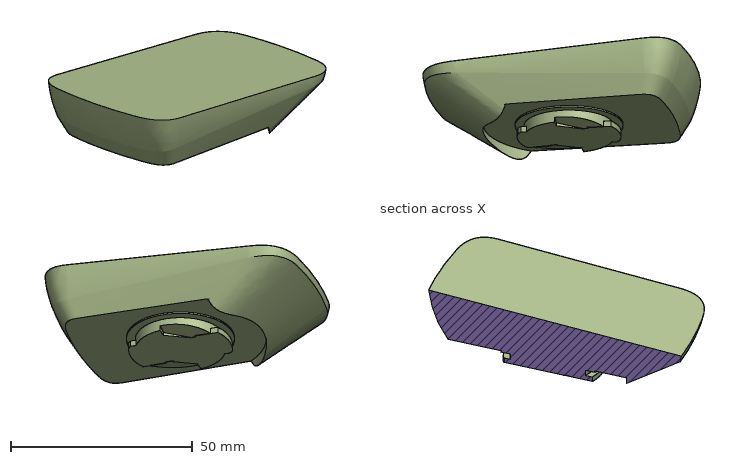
import cadquery as cq
import math

LENGTH = 74.5
FRONT_Y = -35.2
BACK_Y = FRONT_Y + LENGTH
TOP_FRONT_Z = 19.3
TOP_BACK_Z = 15.35
BASE_Z = 3.7

TOP_HALF_WIDTH = 23.6
FRONT_CORNER_Y = -25.2

CREASE_FRONT_Y = -32.3
CREASE_BACK_Y = 39.0
CREASE_FRONT_Z = 8.6
CREASE_BACK_Z = 13.25

FOOT_FRONT_Y = -27.3
FOOT_BACK_Y = 20.85

FRONT_BULGE = 0.45
SIDE_BULGE = 0.3

LIP_RADIUS = 23.7
CUTTER_SIZE = 2 * LENGTH

MOUNT_RADIUS = 12.45
PAD_RADIUS = 14.9
PAD_THICKNESS = 0.45
TAB_RADIUS = 14.3
TAB_HEIGHT = 1.65
TAB_HALF_WIDTH = 6.2
TAB_CHAMFER = 1.05

RECESS_START_Y = 1.8
RECESS_END_Y = -10.4
RECESS_WALL_X = -9.3
RECESS_TIP_X = -5.6
RECESS_TIP_Y = -4.85
RECESS_DEPTH = 1.4
ROOF_SLOPE_X = 0.167
ROOF_SLOPE_Y = 0.023


def tilted_plane(y1, z1, y2, z2):
    """Return the height of a tilted plane as a function of Y."""
    slope = (z2 - z1) / (y2 - y1)
    return lambda y: z1 + slope * (y - y1)


def midpoint(a, b):
    return tuple((p + q) / 2 for p, q in zip(a, b))


class Section:
    """Closed outline on a tilted plane, symmetric in X, given by the plan points of its +X half."""

    def __init__(self, height, front_y, front_bow, front_side, back_side, back_bow, back_y):
        self.height = height
        self.front_y = front_y
        self.front_bow = front_bow
        self.front_side = front_side
        self.back_side = back_side
        self.back_bow = back_bow
        self.back_y = back_y

    def point(self, plan, mirror=1):
        return cq.Vector(mirror * plan[0], plan[1], self.height(plan[1]))

    def bow(self, bow_end, peak_y):
        return cq.Edge.makeThreePointArc(
            self.point(bow_end, -1), self.point((0, peak_y)), self.point(bow_end)
        )

    def corner(self, bow_end, side_end, peak_y, mirror):
        """Rounded corner, tangent to the bow and to the straight side."""
        start = self.point(bow_end, mirror)
        end = self.point(side_end, mirror)
        half_angle = math.atan2(peak_y - bow_end[1], bow_end[0])
        beyond_bow = (2 * bow_end[0], bow_end[1] - bow_end[0] * math.tan(2 * half_angle))
        bow_tangent = self.point(beyond_bow, mirror) - start
        toward_back = self.point(self.back_side, mirror) - self.point(self.front_side, mirror)
        if peak_y < self.front_side[1]:
            side = toward_back
        else:
            side = toward_back * -1
        tangents = [bow_tangent.normalized(), side.normalized()]
        return cq.Edge.makeSpline([start, end], tangents=tangents)

    def wire(self):
        edges = [self.bow(self.front_bow, self.front_y)]
        edges.append(self.corner(self.front_bow, self.front_side, self.front_y, 1))
        edges.append(cq.Edge.makeLine(self.point(self.front_side), self.point(self.back_side)))
        edges.append(self.corner(self.back_bow, self.back_side, self.back_y, 1))
        edges.append(self.bow(self.back_bow, self.back_y))
        edges.append(self.corner(self.back_bow, self.back_side, self.back_y, -1))
        edges.append(cq.Edge.makeLine(self.point(self.back_side, -1), self.point(self.front_side, -1)))
        edges.append(self.corner(self.front_bow, self.front_side, self.front_y, -1))
        return cq.Wire.assembleEdges(edges)


def bulged_section(low, high):
    """Section halfway between two others, pushed out at the front and the sides."""
    front_bow = midpoint(low.front_bow, high.front_bow)
    front_side = midpoint(low.front_side, high.front_side)
    back_side = midpoint(low.back_side, high.back_side)
    return Section(
        height=lambda y: (low.height(y) + high.height(y)) / 2,
        front_y=(low.front_y + high.front_y) / 2 - FRONT_BULGE,
        front_bow=(front_bow[0], front_bow[1] - FRONT_BULGE),
        front_side=(front_side[0] + SIDE_BULGE, front_side[1]),
        back_side=(back_side[0] + SIDE_BULGE / 2, back_side[1]),
        back_bow=midpoint(low.back_bow, high.back_bow),
        back_y=(low.back_y + high.back_y) / 2,
    )


def make_body():
    top = Section(
        height=tilted_plane(FRONT_Y, TOP_FRONT_Z, BACK_Y, TOP_BACK_Z),
        front_y=FRONT_Y,
        front_bow=(14.5, -34.1),
        front_side=(TOP_HALF_WIDTH, FRONT_CORNER_Y),
        back_side=(22.95, 28.1),
        back_bow=(13.4, 38.45),
        back_y=BACK_Y,
    )
    crease = Section(
        height=tilted_plane(CREASE_FRONT_Y, CREASE_FRONT_Z, CREASE_BACK_Y, CREASE_BACK_Z),
        front_y=CREASE_FRONT_Y,
        front_bow=(13.25, -31.5),
        front_side=(21.7, FRONT_CORNER_Y),
        back_side=(22.5, 27.2),
        back_bow=(13.25, 38.0),
        back_y=CREASE_BACK_Y,
    )
    foot = Section(
        height=lambda y: 0.0,
        front_y=FOOT_FRONT_Y,
        front_bow=(11.2, -26.7),
        front_side=(18.25, -22.35),
        back_side=(17.4, 11.9),
        back_bow=(11.9, 19.2),
        back_y=FOOT_BACK_Y,
    )
    middle = bulged_section(crease, top)
    upper = cq.Solid.makeLoft([crease.wire(), middle.wire(), top.wire()], False)
    lower = cq.Solid.makeLoft([foot.wire(), crease.wire()], True)

    clearance = cq.Workplane("XY").circle(LIP_RADIUS).extrude(BASE_Z)
    front_space = (
        cq.Workplane("XY")
        .rect(CUTTER_SIZE, CUTTER_SIZE)
        .extrude(BASE_Z)
        .translate((0, -CUTTER_SIZE / 2, 0))
    )
    lower = cq.Workplane(lower).cut(clearance).cut(front_space)
    return lower.union(cq.Workplane(upper))


def make_tab():
    """Locking tab on the -Y side, with its +X outer corner cut off."""
    disc = cq.Workplane("XY").circle(TAB_RADIUS).extrude(TAB_HEIGHT)
    inner_y = -MOUNT_RADIUS / 2
    corner_y = -math.sqrt(TAB_RADIUS**2 - TAB_HALF_WIDTH**2)
    window = (
        cq.Workplane("XY")
        .moveTo(-TAB_HALF_WIDTH, inner_y)
        .lineTo(TAB_HALF_WIDTH, inner_y)
        .lineTo(TAB_HALF_WIDTH, corner_y + TAB_CHAMFER / 2)
        .lineTo(TAB_HALF_WIDTH - TAB_CHAMFER, corner_y - TAB_CHAMFER / 2)
        .lineTo(TAB_HALF_WIDTH - TAB_CHAMFER, -2 * TAB_RADIUS)
        .lineTo(-TAB_HALF_WIDTH, -2 * TAB_RADIUS)
        .close()
        .extrude(TAB_HEIGHT)
    )
    return disc.intersect(window)


def make_recess():
    """Wedge under the -X side of the mount, closed above by a tilted flat roof."""
    plan = (
        cq.Workplane("XY")
        .polyline([
            (-PAD_RADIUS, RECESS_START_Y),
            (RECESS_WALL_X, RECESS_START_Y),
            (RECESS_TIP_X, RECESS_TIP_Y),
            (RECESS_TIP_X, RECESS_END_Y),
            (-PAD_RADIUS, RECESS_END_Y),
        ])
        .close()
        .extrude(BASE_Z)
    )
    roof = cq.Plane(
        origin=(-MOUNT_RADIUS, RECESS_START_Y, RECESS_DEPTH),
        normal=(ROOF_SLOPE_X, -ROOF_SLOPE_Y, 1),
    )
    below_roof = cq.Workplane(roof).rect(CUTTER_SIZE, CUTTER_SIZE).extrude(-CUTTER_SIZE)
    return plan.intersect(below_roof)


def make_mount():
    mount = cq.Workplane("XY").circle(MOUNT_RADIUS).extrude(BASE_Z)
    pad = (
        cq.Workplane("XY")
        .workplane(offset=BASE_Z - PAD_THICKNESS)
        .circle(PAD_RADIUS)
        .extrude(PAD_THICKNESS)
    )
    mount = mount.union(pad)
    tab = make_tab()
    recess = make_recess()
    for angle in (0, 180):
        mount = mount.cut(recess.rotate((0, 0, 0), (0, 0, 1), angle))
        mount = mount.union(tab.rotate((0, 0, 0), (0, 0, 1), angle))
    return mount


result = make_body().union(make_mount())